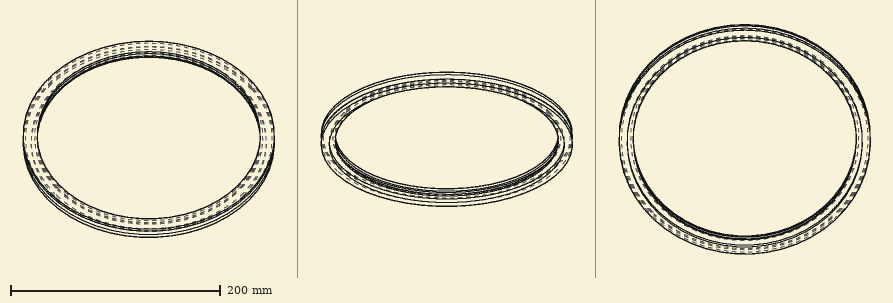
import cadquery as cq
import math

outer_radius = 120.0
height = 12.0

top_inner_radius = 106.5
top_thickness = 3.0
lip_inner_radius = top_inner_radius
lip_top = 5.8
lip_thickness = 2.0

relief_radius = 112.3

web_inner_radius = 109.0
web_fillet = 1.7

groove_depth = 2.2
groove_bottom = 4.3

flange_underside = height - top_thickness
lip_underside = lip_top - lip_thickness
groove_root = outer_radius - groove_depth
root_level = flange_underside - groove_depth


def lower_groove_midpoint():
    """Middle of the arc that leaves the groove root vertically and ends at the outer edge."""
    drop = root_level - groove_bottom
    radius = (groove_depth**2 + drop**2) / (2 * groove_depth)
    half_angle = math.atan2(groove_depth, drop)
    return (
        groove_root + radius * (1 - math.cos(half_angle)),
        root_level - radius * math.sin(half_angle),
    )


def ring_section():
    """Half section of the ring, drawn as radius against height."""
    return (
        cq.Workplane("XZ")
        .moveTo(lip_inner_radius, lip_underside)
        .lineTo(relief_radius, lip_underside)
        .lineTo(relief_radius, 0)
        .lineTo(outer_radius, 0)
        .lineTo(outer_radius, groove_bottom)
        .threePointArc(lower_groove_midpoint(), (groove_root, root_level))
        .tangentArcPoint((outer_radius, flange_underside), relative=False)
        .lineTo(outer_radius, height)
        .lineTo(top_inner_radius, height)
        .lineTo(top_inner_radius, flange_underside)
        .lineTo(web_inner_radius, flange_underside)
        .lineTo(web_inner_radius, lip_top + web_fillet)
        .tangentArcPoint((web_inner_radius - web_fillet, lip_top), relative=False)
        .lineTo(lip_inner_radius, lip_top)
        .close()
    )


result = ring_section().revolve(360, (0, 0, 0), (0, 1, 0))